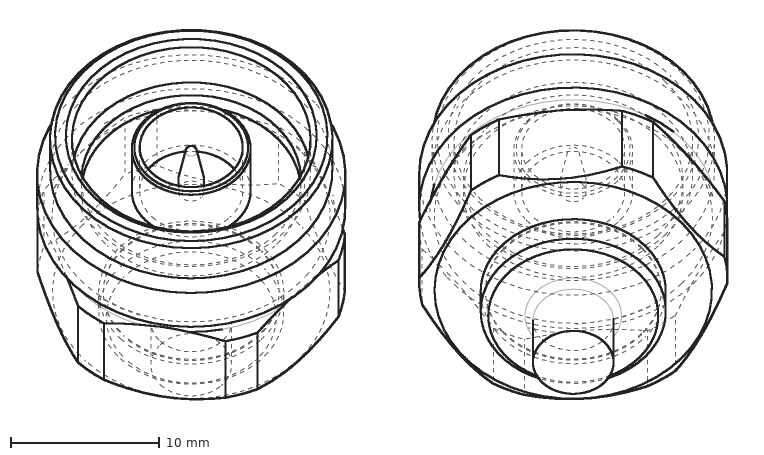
import cadquery as cq
import math

TOP_Z = 24.3
BARREL_BOTTOM_Z = 20.75
RING_TOP_Z = 20.27
RING_BOTTOM_Z = 16.67
NECK_TOP_Z = 16.25
NECK_BOTTOM_Z = 15.24
NECK_MIDDLE_Z = (NECK_TOP_Z + NECK_BOTTOM_Z) / 2
HEX_CORNER_TOP_Z = 14.82
HEX_BOTTOM_Z = 7.78
FLANGE_TOP_Z = 7.65
FLANGE_BOTTOM_Z = 5.03

BARREL_RADIUS = 9.53
RING_RADIUS = 10.4
NECK_EDGE_RADIUS = 9.67
NECK_MIDDLE_RADIUS = 9.38
GROOVE_RADIUS = 5.93
FLANGE_RADIUS = 6.25
TAIL_RADIUS = 2.72

BARREL_CHAMFER = 0.35
HEX_BOTTOM_CHAMFER = 1.05
FLANGE_CHAMFER = 0.5
TAIL_FILLET = 0.53

HEX_SIDES = 6
HEX_APOTHEM = 9.53

MOUTH_RADIUS = 8.45
BORE_RADIUS = 8.05
MOUTH_CHAMFER_DEPTH = 0.36
LEDGE_TOP_Z = 20.2
LEDGE_BOTTOM_Z = 19.6
FLOOR_RADIUS = 7.4
FLOOR_Z = 18.45

SLEEVE_TOP_Z = 23.08
SLEEVE_OUTER_RADIUS = 4.0
SLEEVE_INNER_RADIUS = 3.47
SLEEVE_CHAMFER = 0.17

PIN_RADIUS = 0.87
PIN_TIP_RADIUS = 0.4
PIN_TAPER_BOTTOM_Z = 19.68
PIN_TAPER_TOP_Z = 22.62


def revolve_profile(profile):
    """Turn a closed (radius, height) profile around the Z axis."""
    return profile.close().revolve(360, (0, 0, 0), (0, 1, 0))


def make_outer_body():
    fillet_center_r = TAIL_RADIUS + TAIL_FILLET
    fillet_center_z = FLANGE_BOTTOM_Z - TAIL_FILLET
    fillet_middle = (
        fillet_center_r - TAIL_FILLET * math.sqrt(0.5),
        fillet_center_z + TAIL_FILLET * math.sqrt(0.5),
    )
    profile = (
        cq.Workplane("XZ")
        .moveTo(0, 0)
        .lineTo(TAIL_RADIUS, 0)
        .lineTo(TAIL_RADIUS, fillet_center_z)
        .threePointArc(fillet_middle, (fillet_center_r, FLANGE_BOTTOM_Z))
        .lineTo(FLANGE_RADIUS - FLANGE_CHAMFER, FLANGE_BOTTOM_Z)
        .lineTo(FLANGE_RADIUS, FLANGE_BOTTOM_Z + FLANGE_CHAMFER)
        .lineTo(FLANGE_RADIUS, FLANGE_TOP_Z)
        .lineTo(GROOVE_RADIUS, FLANGE_TOP_Z)
        .lineTo(GROOVE_RADIUS, HEX_BOTTOM_Z)
        .lineTo(RING_RADIUS - HEX_BOTTOM_CHAMFER, HEX_BOTTOM_Z)
        .lineTo(RING_RADIUS, HEX_BOTTOM_Z + HEX_BOTTOM_CHAMFER)
        .lineTo(RING_RADIUS, HEX_CORNER_TOP_Z)
        .lineTo(NECK_EDGE_RADIUS, NECK_BOTTOM_Z)
        .threePointArc((NECK_MIDDLE_RADIUS, NECK_MIDDLE_Z), (NECK_EDGE_RADIUS, NECK_TOP_Z))
        .lineTo(RING_RADIUS, RING_BOTTOM_Z)
        .lineTo(RING_RADIUS, RING_TOP_Z)
        .lineTo(BARREL_RADIUS, BARREL_BOTTOM_Z)
        .lineTo(BARREL_RADIUS, TOP_Z - BARREL_CHAMFER)
        .lineTo(BARREL_RADIUS - BARREL_CHAMFER, TOP_Z)
        .lineTo(0, TOP_Z)
    )
    return revolve_profile(profile)


def make_hex_trim():
    """Material outside the hexagon, from the nut's underside to the middle of the neck."""
    corner_radius = HEX_APOTHEM / math.cos(math.pi / HEX_SIDES)
    height = NECK_MIDDLE_Z - HEX_BOTTOM_Z
    base = cq.Workplane("XY").workplane(offset=HEX_BOTTOM_Z)
    hexagon = base.transformed(rotate=(0, 0, 90)).polygon(HEX_SIDES, 2 * corner_radius).extrude(height)
    return base.circle(2 * RING_RADIUS).extrude(height).cut(hexagon)


def make_socket():
    profile = (
        cq.Workplane("XZ")
        .moveTo(0, FLOOR_Z)
        .lineTo(FLOOR_RADIUS, FLOOR_Z)
        .lineTo(FLOOR_RADIUS, LEDGE_BOTTOM_Z)
        .lineTo(BORE_RADIUS, LEDGE_TOP_Z)
        .lineTo(BORE_RADIUS, TOP_Z - MOUTH_CHAMFER_DEPTH)
        .lineTo(MOUTH_RADIUS, TOP_Z)
        .lineTo(0, TOP_Z)
    )
    return revolve_profile(profile)


def make_sleeve():
    return (
        cq.Workplane("XY")
        .workplane(offset=FLOOR_Z)
        .circle(SLEEVE_OUTER_RADIUS)
        .extrude(SLEEVE_TOP_Z - FLOOR_Z)
        .faces(">Z")
        .chamfer(SLEEVE_CHAMFER)
        .faces(">Z")
        .workplane()
        .circle(SLEEVE_INNER_RADIUS)
        .cutBlind(FLOOR_Z - SLEEVE_TOP_Z)
    )


def make_pin():
    tip_middle = (
        PIN_TIP_RADIUS * math.sqrt(0.5),
        PIN_TAPER_TOP_Z + PIN_TIP_RADIUS * math.sqrt(0.5),
    )
    profile = (
        cq.Workplane("XZ")
        .moveTo(0, FLOOR_Z)
        .lineTo(PIN_RADIUS, FLOOR_Z)
        .lineTo(PIN_RADIUS, PIN_TAPER_BOTTOM_Z)
        .lineTo(PIN_TIP_RADIUS, PIN_TAPER_TOP_Z)
        .threePointArc(tip_middle, (0, PIN_TAPER_TOP_Z + PIN_TIP_RADIUS))
    )
    return revolve_profile(profile)


result = (
    make_outer_body()
    .cut(make_hex_trim())
    .cut(make_socket())
    .union(make_sleeve())
    .union(make_pin())
)